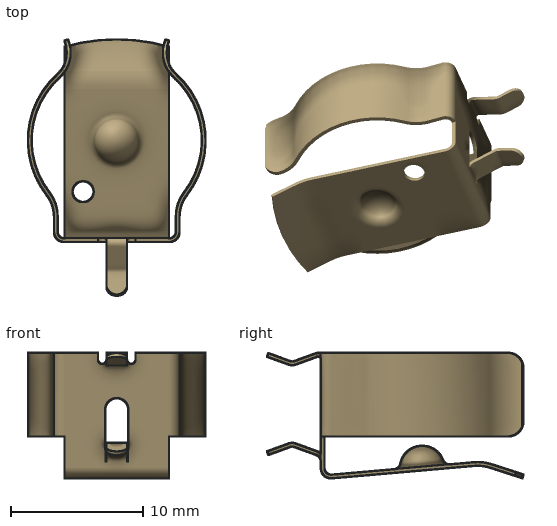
import cadquery as cq
import math


sheet = 0.3
half_sheet = sheet / 2
total_height = 9.52
back_y = 7.65
wall_front_y = -7.70
wall_mid_y = wall_front_y + half_sheet
body_width = 7.92
corner_radius = 0.5
corner_mid_radius = corner_radius + half_sheet

base_tilt = 5.0
base_tail_tilt = 18.0
crown_start_y = 3.90
crown_mid_radius = 3.25
tail_edge_radius = 13.5
hole_diameter = 1.58
hole_x = -2.545
hole_y = -3.89

dome_radius = 1.7
dome_center_drop = 0.11
dome_y = -0.03
dome_foot_radius = 2.1

arm_height = 6.35
arm_outer_radius = 6.73
arm_straight_end_y = -5.76
lip_half_gap = 3.48
lip_radius = 2.5
lip_corner_radius = 1.2

tab_width = 1.58
tab_slope = 20.0
tab_knee_y = -9.85
tab_tip_y = -11.76
tab_knee_mid_radius = 0.52
upper_tab_bend_radius = 0.17
notch_width = 0.62
notch_depth = 0.84
slot_width = 1.73
slot_bottom_z = 1.30
slot_top_z = 6.07


def cosd(angle):
    return math.cos(math.radians(angle))


def sind(angle):
    return math.sin(math.radians(angle))


def side_point(point, heading, offset):
    """Point at a distance to the left of a heading."""
    return (point[0] - offset * sind(heading), point[1] + offset * cosd(heading))


def advance(point, heading, step):
    """Follow one centerline step: (length, 0) is straight, (radius, turn) is a bend."""
    size, turn = step
    if turn == 0:
        return (point[0] + size * cosd(heading), point[1] + size * sind(heading)), heading
    signed_radius = math.copysign(size, turn)
    center = side_point(point, heading, signed_radius)
    return side_point(center, heading + turn, -signed_radius), heading + turn


def follow_face(section, points, turns):
    """Extend an outline along one sheet face; points alternate step ends and step middles."""
    for turn, middle, end in zip(turns, points[1::2], points[2::2]):
        if turn == 0:
            section = section.lineTo(*end)
        else:
            section = section.threePointArc(middle, end)
    return section


def bent_strip(plane, start, heading, steps):
    """Sheet section along a centerline, with its end point and end heading."""
    point = start
    stations = [(point, heading)]
    for size, turn in steps:
        if turn == 0:
            middle = (point, heading)
        else:
            middle = advance(point, heading, (size, turn / 2))
        point, heading = advance(point, heading, (size, turn))
        stations += [middle, (point, heading)]

    left = [side_point(p, h, half_sheet) for p, h in stations]
    right = [side_point(p, h, -half_sheet) for p, h in stations]
    turns = [turn for _, turn in steps]
    section = cq.Workplane(plane).moveTo(*left[0])
    section = follow_face(section, left, turns)
    section = section.lineTo(*right[-1])
    section = follow_face(section, right[::-1], turns[::-1])
    return section.close(), point, heading


def plane_on_strip(point, heading):
    """Plane on a YZ strip: local X along the part's X, local normal upward off the strip."""
    normal = (0, -sind(heading), cosd(heading))
    return cq.Plane(origin=(0, *point), xDir=(1, 0, 0), normal=normal)


def make_wall_and_base():
    """Upright wall bent into the sloping base, which crests and drops to a rounded tail."""
    bend_end_y = wall_mid_y + corner_mid_radius * (1 + sind(base_tilt))
    crown_end_y = crown_start_y + crown_mid_radius * (sind(base_tilt) + sind(base_tail_tilt))
    tail_end_y = back_y - half_sheet * sind(base_tail_tilt)
    steps = [
        (total_height - corner_radius - sheet, 0),
        (corner_mid_radius, 90 + base_tilt),
        ((crown_start_y - bend_end_y) / cosd(base_tilt), 0),
        (crown_mid_radius, -base_tilt - base_tail_tilt),
        ((tail_end_y - crown_end_y) / cosd(base_tail_tilt), 0),
    ]
    section, tip, heading = bent_strip("YZ", (wall_mid_y, total_height), -90, steps)
    body = section.extrude(body_width / 2, both=True)
    return body.cut(tail_trim(tip, heading))


def tail_trim(tip, heading):
    """Waste outside the shallow arc at the rear edge of the base."""
    half_width = body_width / 2
    sagitta = tail_edge_radius - math.sqrt(tail_edge_radius ** 2 - half_width ** 2)
    return (
        cq.Workplane(plane_on_strip(tip, heading))
        .moveTo(-half_width, -sagitta)
        .threePointArc((0, 0), (half_width, -sagitta))
        .lineTo(half_width, sagitta)
        .lineTo(-half_width, sagitta)
        .close()
        .extrude(sheet, both=True)
    )


def base_plane(y):
    """Plane on the underside of the sloping base at a given Y of its upper face."""
    bend_center_y = wall_front_y + sheet + corner_radius
    outer_radius = corner_radius + sheet
    underside_y = y + sheet * sind(base_tilt)
    rise = (underside_y - bend_center_y) * math.tan(math.radians(base_tilt))
    underside_z = outer_radius - outer_radius / cosd(base_tilt) + rise
    return plane_on_strip((underside_y, underside_z), base_tilt)


def make_dome():
    """Pressed dome of constant sheet thickness with a flared foot, axis normal to the base."""
    center_z = sheet - dome_center_drop
    foot_fillet = (
        (dome_foot_radius ** 2 + dome_center_drop ** 2 - dome_radius ** 2)
        / (2 * (dome_radius - dome_center_drop))
    )
    fillet_z = sheet + foot_fillet
    tangent_angle = math.degrees(math.atan2(fillet_z - center_z, dome_foot_radius))
    sphere_mid = (90 + tangent_angle) / 2
    fillet_start = 180 + tangent_angle
    fillet_end = 270
    fillet_mid = (fillet_start + fillet_end) / 2

    def on_sphere(radius, angle):
        return (radius * cosd(angle), center_z + radius * sind(angle))

    def on_fillet(radius, angle):
        return (dome_foot_radius + radius * cosd(angle), fillet_z + radius * sind(angle))

    inner = dome_radius - sheet
    outer_fillet = foot_fillet + sheet
    return (
        cq.Workplane(base_plane(dome_y))
        .transformed(rotate=(90, 0, 0))
        .moveTo(*on_sphere(dome_radius, 90))
        .threePointArc(on_sphere(dome_radius, sphere_mid), on_sphere(dome_radius, tangent_angle))
        .threePointArc(on_fillet(foot_fillet, fillet_mid), (dome_foot_radius, sheet))
        .lineTo(dome_foot_radius, 0)
        .threePointArc(on_fillet(outer_fillet, fillet_mid), on_sphere(inner, tangent_angle))
        .threePointArc(on_sphere(inner, sphere_mid), on_sphere(inner, 90))
        .close()
        .revolve(360, (0, 0), (0, 1))
    )


def base_hole(x, y, radius):
    """Cutter through the base, normal to its slope."""
    return cq.Workplane(base_plane(y)).center(x, 0).circle(radius).extrude(2 * sheet, both=True)


def make_arm():
    """Right arm: corner bend, short straight, neck, grip around the cell and flared lip."""
    straight_x = body_width / 2 + corner_radius + sheet
    straight_start_y = wall_front_y + sheet + corner_radius
    neck_radius = (
        (straight_x ** 2 + arm_straight_end_y ** 2 - arm_outer_radius ** 2)
        / (2 * (arm_outer_radius - straight_x))
    )
    neck_angle = math.degrees(math.atan2(arm_straight_end_y, straight_x + neck_radius))
    lip_center_x = lip_half_gap + lip_radius
    lip_center_distance = arm_outer_radius - sheet + lip_radius
    lip_center_y = math.sqrt(lip_center_distance ** 2 - lip_center_x ** 2)
    lip_angle = math.degrees(math.atan2(lip_center_y, lip_center_x))
    lip_flare = math.degrees(math.asin((back_y - lip_center_y) / lip_radius))
    steps = [
        (corner_mid_radius, 90),
        (arm_straight_end_y - straight_start_y, 0),
        (neck_radius + half_sheet, neck_angle),
        (arm_outer_radius - half_sheet, lip_angle - neck_angle),
        (lip_radius - half_sheet, -lip_angle - lip_flare),
    ]
    section, _, _ = bent_strip("XY", (body_width / 2, wall_mid_y), 0, steps)
    arm_bottom_z = total_height - arm_height
    arm = section.extrude(arm_height).translate((0, 0, arm_bottom_z))
    envelope = (
        cq.Workplane("XY")
        .box(2 * arm_outer_radius, back_y - wall_front_y, arm_height, centered=(True, False, False))
        .translate((0, wall_front_y, arm_bottom_z))
        .edges("|X and >Y")
        .fillet(lip_corner_radius)
    )
    return arm.intersect(envelope)


def make_tab(start_z, bend_mid_radius, bend_turn, knee_turn):
    """Tab bent forward out of the wall, with a knee and a round tip."""
    start = (wall_mid_y, start_z)
    bend_end, _ = advance(start, 90, (bend_mid_radius, bend_turn))
    knee_half_length = tab_knee_mid_radius * sind(tab_slope)
    tip_mid_y = tab_tip_y + half_sheet * sind(tab_slope)
    steps = [
        (bend_mid_radius, bend_turn),
        ((bend_end[0] - tab_knee_y - knee_half_length) / cosd(tab_slope), 0),
        (tab_knee_mid_radius, knee_turn),
        ((tab_knee_y - knee_half_length - tip_mid_y) / cosd(tab_slope), 0),
    ]
    section, tip, heading = bent_strip("YZ", start, 90, steps)
    half_width = tab_width / 2
    tip_waste = (
        cq.Workplane(plane_on_strip(tip, heading))
        .moveTo(-half_width, -half_width)
        .threePointArc((0, 0), (half_width, -half_width))
        .lineTo(half_width, half_width)
        .lineTo(-half_width, half_width)
        .close()
        .extrude(sheet, both=True)
    )
    return section.extrude(half_width, both=True).cut(tip_waste)


def wall_cutter(x, width, bottom_z, top_z):
    """Block through the wall, centered on x."""
    return (
        cq.Workplane("XY")
        .box(width, 2 * sheet, top_z - bottom_z, centered=(True, True, False))
        .translate((x, wall_mid_y, bottom_z))
    )


def wall_drill(x, z, radius):
    """Round cutter through the wall."""
    return cq.Workplane("XZ", origin=(x, wall_mid_y, z)).circle(radius).extrude(sheet, both=True)


def make_notch(x):
    """Round-bottomed relief notch beside the upper tab."""
    radius = notch_width / 2
    round_z = total_height - notch_depth + radius
    return wall_cutter(x, notch_width, round_z, total_height).union(wall_drill(x, round_z, radius))


def make_slot():
    """Round-topped window that the lower tab is bent out of."""
    radius = slot_width / 2
    round_z = slot_top_z - radius
    return wall_cutter(0, slot_width, slot_bottom_z, round_z).union(wall_drill(0, round_z, radius))


upper_tab_mid_radius = upper_tab_bend_radius + half_sheet
upper_tab_start_z = total_height - upper_tab_bend_radius - sheet
notch_x = (tab_width + notch_width) / 2

body = make_wall_and_base()
body = body.cut(base_hole(hole_x, hole_y, hole_diameter / 2))
body = body.cut(base_hole(0, dome_y, dome_foot_radius))
body = body.union(make_dome())

body = body.cut(make_slot())
for side in (-1, 1):
    body = body.cut(make_notch(side * notch_x))
body = body.cut(wall_cutter(0, tab_width, upper_tab_start_z, total_height))

body = body.union(make_tab(upper_tab_start_z, upper_tab_mid_radius, 90 + tab_slope, -2 * tab_slope))
body = body.union(make_tab(slot_bottom_z, corner_mid_radius, 90 - tab_slope, 2 * tab_slope))

right_arm = make_arm()
result = body.union(right_arm).union(right_arm.mirror("YZ"))